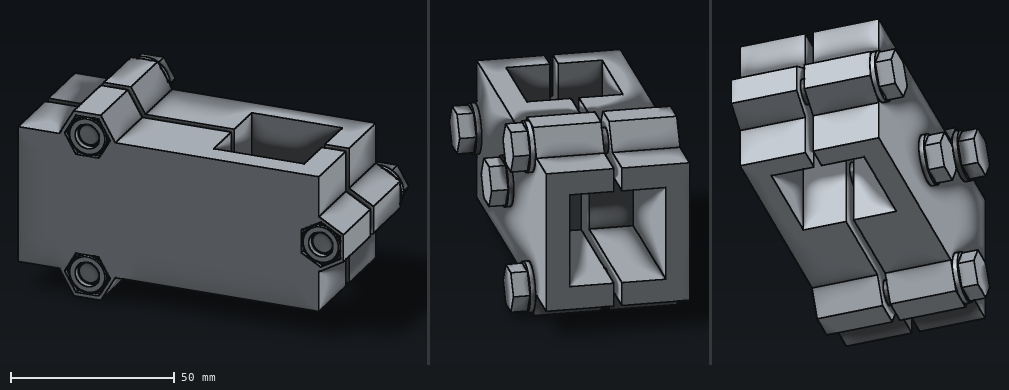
import cadquery as cq
import math

overall_length = 108.5
body_length = 99.9
body_side = 45.0
split_gap = 2.5

tube_side = 30.1
window_end_wall = 8.0
window_start = body_length - window_end_wall - tube_side
divider_thickness = 14.8
socket_depth = window_start - divider_thickness

shaft_diameter = 8.0
washer_diameter = 16.0
washer_thickness = 1.6
head_height = 5.2
hex_across_flats = 13.0
corner_half_angle = 30
tip_recess = 1.6
tip_chamfer = 0.7
nut_height = 6.5
nut_collar_diameter = 12.6
nut_collar_chamfer = 0.4
nut_collar_height = 1.3
nut_corner_slope = 15

side_bolt_x = 23.0
side_bolt_z = 23.0
end_bolt_x = overall_length - washer_diameter / 2
divider_bolt_x = window_start - divider_thickness / 2

boss_flat_width = 9.0
boss_side_angle = 60
side_boss_height = 8.4
end_boss_height = 8.1

half_side = body_side / 2
front_y = -half_side
back_y = half_side


def along_y(x, z, start_y):
    """Workplane at (x, z) whose extrusions run toward +Y from start_y."""
    return cq.Workplane("XZ", origin=(x, start_y, z)).transformed(rotate=(180, 0, 0))


def hex_prism(x, z, start_y, height, turn=0):
    """Hexagonal prism with two corners along X, turned about its axis."""
    across_corners = hex_across_flats / math.cos(math.radians(corner_half_angle))
    plane = along_y(x, z, start_y).transformed(rotate=(0, 0, turn))
    return plane.polygon(6, across_corners).extrude(height)


def boss(x, z, height, turn):
    """Tapered boss rooted on the block face at (x, z); turn 0 points toward +Z."""
    taper = height / math.tan(math.radians(boss_side_angle))
    half_flat = boss_flat_width / 2
    half_root = half_flat + taper
    return (
        cq.Workplane("XZ")
        .polyline([(-half_root, 0), (-half_flat, height), (half_flat, height), (half_root, 0)])
        .close()
        .extrude(half_side, both=True)
        .rotate((0, 0, 0), (0, 1, 0), turn)
        .translate((x, 0, z))
    )


def bolt_head(x, z):
    """Hexagonal head on its washer, plus the shaft down to the split."""
    washer = along_y(x, z, back_y).circle(washer_diameter / 2).extrude(washer_thickness)
    head = hex_prism(x, z, back_y + washer_thickness, head_height)
    shaft = along_y(x, z, -split_gap).circle(shaft_diameter / 2).extrude(2 * split_gap)
    return washer.union(head).union(shaft)


def nut(x, z, turn):
    """Nut in the front face: a chamfered round collar, with its hex corners sloping away behind."""
    collar_radius = nut_collar_diameter / 2
    cone_height = nut_height - nut_collar_height
    base_radius = collar_radius + cone_height / math.tan(math.radians(nut_corner_slope))
    cone_start = cq.Vector(x, front_y + nut_collar_height, z)
    cone = cq.Solid.makeCone(
        collar_radius, base_radius, cone_height, cone_start, cq.Vector(0, 1, 0)
    )
    collar = along_y(x, z, front_y).circle(collar_radius).extrude(nut_height)
    collar = collar.faces("<Y").chamfer(nut_collar_chamfer)
    return hex_prism(x, z, front_y, nut_height, turn).intersect(cq.Workplane(cone)).union(collar)


def shaft_tip(x, z):
    """Chamfered bolt tip, recessed below the nut face."""
    length = nut_height - tip_recess
    tip = along_y(x, z, front_y + tip_recess).circle(shaft_diameter / 2).extrude(length)
    return tip.faces("<Y").chamfer(tip_chamfer)


clamp = cq.Workplane("XY").box(body_length, body_side, body_side, centered=(False, True, True))
clamp = clamp.union(boss(side_bolt_x, half_side, side_boss_height, 0))
clamp = clamp.union(boss(side_bolt_x, -half_side, side_boss_height, 180))
clamp = clamp.union(boss(body_length, 0, end_boss_height, 90))

socket = cq.Workplane("XY").box(socket_depth, tube_side, tube_side, centered=(False, True, True))
window = (
    cq.Workplane("XY")
    .box(tube_side, tube_side, body_side, centered=(False, True, True))
    .translate((window_start, 0, 0))
)
split = cq.Workplane("XY").box(2 * overall_length, split_gap, overall_length)
clamp = clamp.cut(socket).cut(window).cut(split)

nut_places = [
    (side_bolt_x, side_bolt_z, 0),
    (side_bolt_x, -side_bolt_z, 0),
    (end_bolt_x, 0, corner_half_angle),
]
for x, z, turn in nut_places:
    bore = along_y(x, z, front_y).circle(shaft_diameter / 2).extrude(nut_height)
    clamp = clamp.cut(hex_prism(x, z, front_y, nut_height, turn))
    clamp = clamp.union(nut(x, z, turn).cut(bore).union(shaft_tip(x, z)))
    clamp = clamp.union(bolt_head(x, z))
clamp = clamp.union(bolt_head(divider_bolt_x, 0))

result = clamp